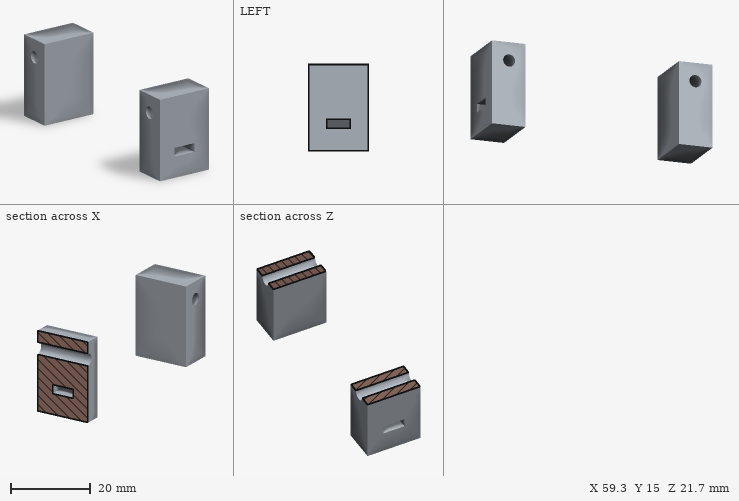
import cadquery as cq

pair_length = 59.3
block_width = 9.0
block_depth = 15.0
block_height = 21.73

hole_diameter = 3.2
hole_inset = 4.6
hole_drop = 4.8

pocket_size = 6.0
pocket_height = 2.3
pocket_floor = 5.7
pocket_reach = (block_width + pocket_size) / 2


def make_end_block(side):
    """Drilled block at one end of the X axis; side is -1 or +1, and the pocket opens outward."""
    outer_x = side * pair_length / 2
    block_x = outer_x - side * block_width / 2
    hole_x = outer_x - side * hole_inset
    pocket_x = outer_x - side * pocket_reach / 2

    block = (
        cq.Workplane("XY", origin=(block_x, 0, 0))
        .box(block_width, block_depth, block_height, centered=(True, True, False))
    )
    hole = (
        cq.Workplane("XZ", origin=(hole_x, 0, block_height - hole_drop))
        .circle(hole_diameter / 2)
        .extrude(block_depth / 2, both=True)
    )
    pocket = (
        cq.Workplane("XY", origin=(pocket_x, 0, pocket_floor))
        .box(pocket_reach, pocket_size, pocket_height, centered=(True, True, False))
    )
    return block.cut(hole).cut(pocket)


end_blocks = [make_end_block(side) for side in (-1, 1)]

result = cq.Compound.makeCompound([block.val() for block in end_blocks])